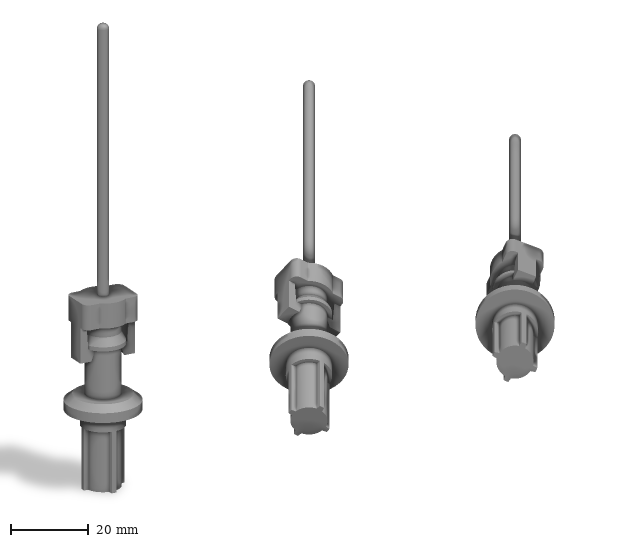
import cadquery as cq

SHAFT_DIAMETER = 9.5
COLLAR_DIAMETER = 12.0
FLANGE_DIAMETER = 20.4
FLANGE_TOP_DIAMETER = 15.9
RIB_TOP = 16.9
FLANGE_BOTTOM = 21.1
FLANGE_RIM_TOP = 23.8
FLANGE_TOP = 25.5
COLLAR_BOTTOM = 39.2
COLLAR_RIM_TOP = 40.4
COLLAR_TOP = 42.6
RIB_TIP_WIDTH = 1.3
RIB_BASE_WIDTH = 2.0
RIB_BASE_RADIUS = 3.8
RIB_COUNT = 4

CAP_BOTTOM = 45.7
CAP_TOP = 52.6
CAP_WIDTH = 10.5
CAP_LENGTH = 16.0
CAP_CORNER_RADIUS = 1.9
CAP_ROUND_DIAMETER = 13.0
ARM_WIDTH = 5.1
ARM_BOTTOM = 35.9
ARM_CLEARANCE_DIAMETER = 13.4
ARM_NARROW_DIAMETER = 12.5
HOOK_LEAD_IN_TOP = 37.9
HOOK_MOUTH_DIAMETER = 10.8

PIN_DIAMETER = 3.0
PIN_TOP = 127.3
PIN_TIP_RADIUS = 1.3


def revolved(profile):
    """Turn a closed outline of (radius, height) points about the Z axis."""
    return cq.Workplane("XZ").polyline(profile).close().revolve(360, (0, 0), (0, 1))


def make_rib():
    """Rib on the +X side that narrows outward; its rounded tip follows the collar diameter."""
    tip_radius = COLLAR_DIAMETER / 2
    wedge = (
        cq.Workplane("XY")
        .polyline([
            (RIB_BASE_RADIUS, -RIB_BASE_WIDTH / 2),
            (tip_radius, -RIB_TIP_WIDTH / 2),
            (tip_radius, RIB_TIP_WIDTH / 2),
            (RIB_BASE_RADIUS, RIB_BASE_WIDTH / 2),
        ])
        .close()
        .extrude(RIB_TOP)
    )
    return wedge.intersect(cq.Workplane("XY").circle(tip_radius).extrude(RIB_TOP))


def make_housing():
    shaft_radius = SHAFT_DIAMETER / 2
    collar_radius = COLLAR_DIAMETER / 2
    housing = revolved([
        (0, 0),
        (shaft_radius, 0),
        (shaft_radius, RIB_TOP),
        (collar_radius, RIB_TOP),
        (collar_radius, FLANGE_BOTTOM),
        (FLANGE_DIAMETER / 2, FLANGE_BOTTOM),
        (FLANGE_DIAMETER / 2, FLANGE_RIM_TOP),
        (FLANGE_TOP_DIAMETER / 2, FLANGE_TOP),
        (shaft_radius, FLANGE_TOP),
        (shaft_radius, COLLAR_BOTTOM),
        (collar_radius, COLLAR_BOTTOM),
        (collar_radius, COLLAR_RIM_TOP),
        (shaft_radius, COLLAR_TOP),
        (shaft_radius, CAP_BOTTOM),
        (0, CAP_BOTTOM),
    ])
    rib_spacing = 360 / RIB_COUNT
    housing = housing.rotate((0, 0, 0), (0, 0, 1), rib_spacing / 2)
    for index in range(RIB_COUNT):
        housing = housing.union(make_rib().rotate((0, 0, 0), (0, 0, 1), index * rib_spacing))
    return housing


def make_cap():
    plate_height = CAP_TOP - CAP_BOTTOM
    plate = (
        cq.Workplane("XY", origin=(0, 0, CAP_BOTTOM))
        .rect(CAP_WIDTH, CAP_LENGTH)
        .extrude(plate_height)
        .edges("|Z")
        .fillet(CAP_CORNER_RADIUS)
    )
    round_middle = (
        cq.Workplane("XY", origin=(0, 0, CAP_BOTTOM))
        .circle(CAP_ROUND_DIAMETER / 2)
        .extrude(plate_height)
    )
    arms = (
        cq.Workplane("XY", origin=(0, 0, ARM_BOTTOM))
        .rect(ARM_WIDTH, CAP_LENGTH)
        .extrude(CAP_BOTTOM - ARM_BOTTOM)
    )
    arm_gap = revolved([
        (0, ARM_BOTTOM),
        (HOOK_MOUTH_DIAMETER / 2, ARM_BOTTOM),
        (SHAFT_DIAMETER / 2, HOOK_LEAD_IN_TOP),
        (SHAFT_DIAMETER / 2, COLLAR_BOTTOM),
        (ARM_NARROW_DIAMETER / 2, COLLAR_BOTTOM),
        (ARM_CLEARANCE_DIAMETER / 2, CAP_BOTTOM),
        (0, CAP_BOTTOM),
    ])
    pin_hole = (
        cq.Workplane("XY", origin=(0, 0, CAP_BOTTOM))
        .circle(PIN_DIAMETER / 2)
        .extrude(plate_height)
    )
    return plate.union(round_middle).union(arms.cut(arm_gap)).cut(pin_hole)


def make_pin():
    return (
        cq.Workplane("XY", origin=(0, 0, CAP_BOTTOM))
        .circle(PIN_DIAMETER / 2)
        .extrude(PIN_TOP - CAP_BOTTOM)
        .faces(">Z")
        .edges()
        .fillet(PIN_TIP_RADIUS)
    )


housing = make_housing()
cap = make_cap()
pin = make_pin()

result = cq.Compound.makeCompound([housing.val(), cap.val(), pin.val()])